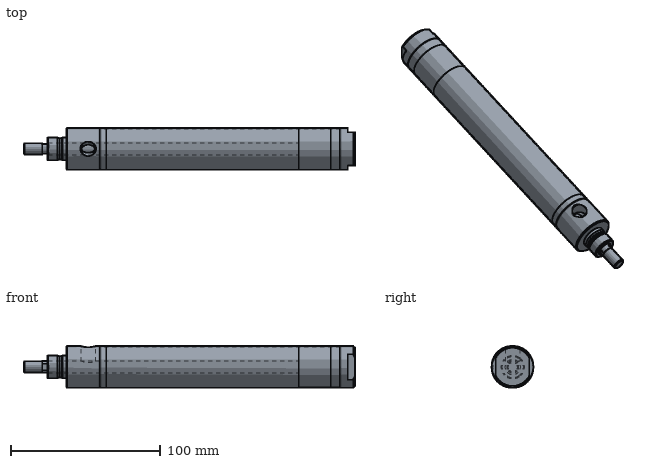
import cadquery as cq
import math

total_length = 222.2
body_diameter = 28.2
body_radius = body_diameter / 2
tube_wall = 0.5
bore_radius = body_radius - tube_wall

rod_flats_start = 12.2
nose_front = 15.5
shoulder = 28.5
tube_front = 51.0
tube_rear = 212.0
x_offset = -total_length / 2

rod_radius = 4.0
rod_flats_width = 6.7
thread_diameter = 7.8
thread_radius = thread_diameter / 2
tip_chamfer_length = 0.5
tip_chamfer_depth = 0.78
piston_length = 21.3

nose_radius = 7.8
nose_chamfer = 0.7
relief_start = 22.2
relief_end = 26.2
relief_slope = 1.3
relief_depth = 0.55
rod_bore_chamfer = 1.1
shoulder_chamfer = 0.7
front_spigot_length = 4.5

port_x = 43.1
port_radius = 5.0
port_chamfer = 0.5
port_cone_reach = 4.5
port_cone_angle = 118

front_joint_chamfer = 0.7
rear_joint_chamfer = 0.7
joint_depth = 0.11

rear_spigot_length = 6.2
rear_chamfer = 1.3
rear_flats_width = 22.5
rear_flats_length = 5.0


SIDE_PLANE = cq.Plane(origin=(x_offset, 0, 0), xDir=(1, 0, 0), normal=(0, 0, -1))
TOP_PLANE = cq.Plane(origin=(x_offset, 0, 0), xDir=(1, 0, 0), normal=(0, -1, 0))


def turned(plane, profile):
    """Solid of revolution about the X axis from (station, radius) points."""
    return cq.Workplane(plane).polyline(profile).close().revolve(360, (0, 0), (1, 0))


def flats_cutter(start, length, flats_width, radius):
    """Two blocks that leave parallel flats, facing -Y and +Y, on a round of the given radius."""
    height = 2 * radius
    between = cq.Workplane().box(length, flats_width, height)
    around = cq.Workplane().box(length, 4 * radius, height)
    return around.cut(between).translate((x_offset + start + length / 2, 0, 0))


def make_rod():
    """Piston rod and piston in one piece, fully retracted against the rear cap."""
    piston_rear = tube_rear - rear_spigot_length
    piston_front = piston_rear - piston_length
    rod = turned(TOP_PLANE, [
        (0, 0),
        (0, thread_radius - tip_chamfer_depth),
        (tip_chamfer_length, thread_radius),
        (rod_flats_start, thread_radius),
        (rod_flats_start, rod_radius),
        (piston_front, rod_radius),
        (piston_front, bore_radius),
        (piston_rear, bore_radius),
        (piston_rear, 0),
    ])
    flats = flats_cutter(rod_flats_start, nose_front - rod_flats_start, rod_flats_width, rod_radius)
    return rod.cut(flats)


def make_port_cutter():
    """Round hole from above, ending in a drill-point cone that opens onto the rod."""
    slope = math.tan(math.radians(port_cone_angle / 2))
    apex = rod_radius - port_cone_reach / slope
    cone_top = apex + port_radius / slope
    mouth_radius = port_radius + port_chamfer
    port_plane = cq.Plane(origin=(x_offset + port_x, 0, 0), xDir=(1, 0, 0), normal=(0, -1, 0))
    return (
        cq.Workplane(port_plane)
        .polyline([
            (0, apex),
            (port_radius, cone_top),
            (port_radius, body_radius - port_chamfer),
            (mouth_radius, body_radius),
            (0, body_radius),
        ])
        .close()
        .revolve(360, (0, 0), (0, 1))
    )


def make_front_cap():
    relief_radius = nose_radius - relief_depth
    spigot_end = tube_front + front_spigot_length
    cap = turned(SIDE_PLANE, [
        (nose_front, rod_radius + rod_bore_chamfer),
        (nose_front, nose_radius - nose_chamfer),
        (nose_front + nose_chamfer, nose_radius),
        (relief_start, nose_radius),
        (relief_start + relief_slope, relief_radius),
        (relief_end - relief_slope, relief_radius),
        (relief_end, nose_radius),
        (shoulder, nose_radius),
        (shoulder, body_radius - shoulder_chamfer),
        (shoulder + shoulder_chamfer, body_radius),
        (tube_front - front_joint_chamfer, body_radius),
        (tube_front, body_radius - joint_depth),
        (tube_front, bore_radius),
        (spigot_end, bore_radius),
        (spigot_end, rod_radius),
        (nose_front + rod_bore_chamfer, rod_radius),
    ])
    return cap.cut(make_port_cutter())


def make_tube():
    return turned(TOP_PLANE, [
        (tube_front, bore_radius),
        (tube_front, body_radius - joint_depth),
        (tube_front + front_joint_chamfer, body_radius),
        (tube_rear, body_radius),
        (tube_rear, bore_radius),
    ])


def make_rear_cap():
    spigot_start = tube_rear - rear_spigot_length
    cap = turned(TOP_PLANE, [
        (spigot_start, 0),
        (spigot_start, bore_radius),
        (tube_rear, bore_radius),
        (tube_rear, body_radius - joint_depth),
        (tube_rear + rear_joint_chamfer, body_radius),
        (total_length - rear_chamfer, body_radius),
        (total_length, body_radius - rear_chamfer),
        (total_length, 0),
    ])
    flats_start = total_length - rear_flats_length
    return cap.cut(flats_cutter(flats_start, rear_flats_length, rear_flats_width, body_radius))


piston_rod = make_rod()
front_cap = make_front_cap()
tube = make_tube()
rear_cap = make_rear_cap()

result = cq.Compound.makeCompound([piston_rod.val(), front_cap.val(), tube.val(), rear_cap.val()])